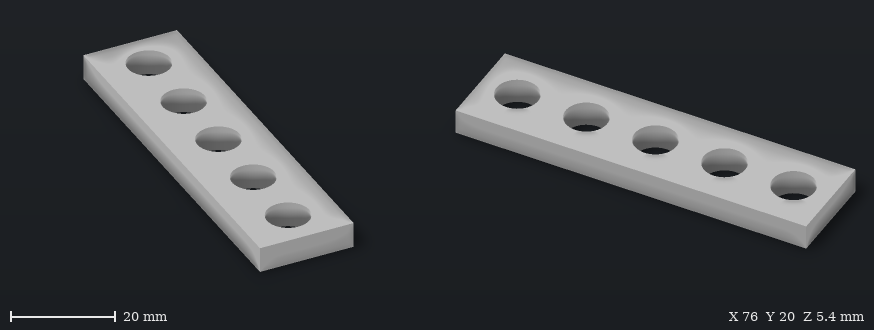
import cadquery as cq

length = 76.0
width = 20.0
thickness = 5.4

hole_count = 5
hole_diameter = 9.0
hole_pitch = 15.0

bar = cq.Workplane("XY").box(length, width, thickness)

result = (
    bar.faces(">Z")
    .workplane()
    .rarray(hole_pitch, 0.75, hole_count, 1)
    .hole(hole_diameter)
)